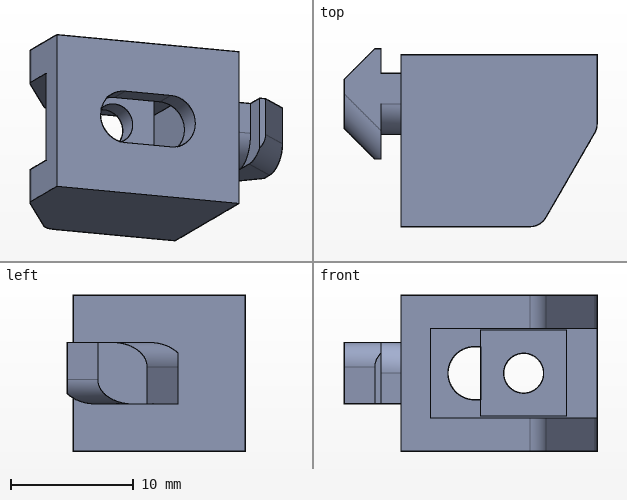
import cadquery as cq
import math


overall_length = 20.6
hook_neck_length = 1.6
hook_head_length = 3.0
block_length = overall_length - hook_neck_length - hook_head_length
block_depth = 14.0
block_height = 12.7
bevel_angle = 60.0
bevel_depth = 8.0
bevel_width = bevel_depth / math.tan(math.radians(bevel_angle))
bevel_round_radius = 1.5

wall = 2.39
pocket_height = 7.27
screw_slot_diameter = 4.3
screw_slot_start = 6.0
screw_slot_end = 10.0

nut_size = 7.0
nut_thickness = 2.2
nut_bore = 3.23

hook_height = 5.0
hook_neck_width = hook_height
hook_neck_radius = hook_neck_width / 2
hook_head_width = 9.0
hook_overhang = 0.5
hook_center_y = block_depth + hook_overhang - hook_head_width / 2
hook_tip_width = 4.02
hook_head_radius = 2.0
hook_embed = 0.41


def make_block():
    outline = [
        (0, 0),
        (block_length - bevel_width, 0),
        (block_length, bevel_depth),
        (block_length, block_depth),
        (0, block_depth),
    ]
    block = cq.Workplane("XY").polyline(outline).close().extrude(block_height / 2, both=True)
    for corner in outline[1:3]:
        bevel_edge = cq.selectors.NearestToPointSelector((*corner, 0))
        block = block.edges(bevel_edge).fillet(bevel_round_radius)
    return block


def make_pocket():
    return cq.Workplane("XY").box(
        block_length - wall, block_depth - wall, pocket_height, centered=(False, False, True)
    ).translate((wall, 0, 0))


def make_screw_slot():
    center_distance = screw_slot_end - screw_slot_start
    return (
        cq.Workplane("XZ")
        .center((screw_slot_start + screw_slot_end) / 2, 0)
        .slot2D(center_distance + screw_slot_diameter, screw_slot_diameter)
        .extrude(-block_depth)
    )


def round_opposite_edges(body, edge_x, edge_y, radius):
    """Round the upper front and the lower rear edge, which mirror each other about the hook axis."""
    for side in (-1, 1):
        edge_middle = (edge_x, hook_center_y + side * edge_y, -side * hook_height / 2)
        body = body.edges(cq.selectors.NearestToPointSelector(edge_middle)).fillet(radius)
    return body


def make_hook_neck():
    length = hook_neck_length + hook_embed
    middle_x = hook_embed - length / 2
    neck = cq.Workplane("XY").box(length, hook_neck_width, hook_height)
    neck = neck.translate((middle_x, hook_center_y, 0))
    return round_opposite_edges(neck, middle_x, hook_neck_width / 2, hook_neck_radius)


def make_hook_head():
    half_tip = hook_tip_width / 2
    half_base = half_tip + hook_head_length
    base_x = -hook_neck_length
    tip_x = base_x - hook_head_length
    wedge = (
        cq.Workplane("XY")
        .polyline([
            (tip_x, hook_center_y - half_tip),
            (base_x, hook_center_y - half_base),
            (base_x, hook_center_y + half_base),
            (tip_x, hook_center_y + half_tip),
        ])
        .close()
        .extrude(hook_height / 2, both=True)
    )
    middle_x = (tip_x + base_x) / 2
    wedge = round_opposite_edges(wedge, middle_x, (half_tip + half_base) / 2, hook_head_radius)
    envelope = cq.Workplane("XY").box(hook_head_length, hook_head_width, hook_height)
    return wedge.intersect(envelope.translate((middle_x, hook_center_y, 0)))


def make_housing():
    solid_block = make_block().cut(make_pocket()).cut(make_screw_slot())
    return solid_block.union(make_hook_neck()).union(make_hook_head())


def make_nut():
    pocket_back = block_depth - wall
    return (
        cq.Workplane("XZ", origin=(screw_slot_end, pocket_back, 0))
        .rect(nut_size, nut_size)
        .circle(nut_bore / 2)
        .extrude(nut_thickness)
    )


housing = make_housing()
nut = make_nut()

result = cq.Compound.makeCompound([housing.val(), nut.val()])